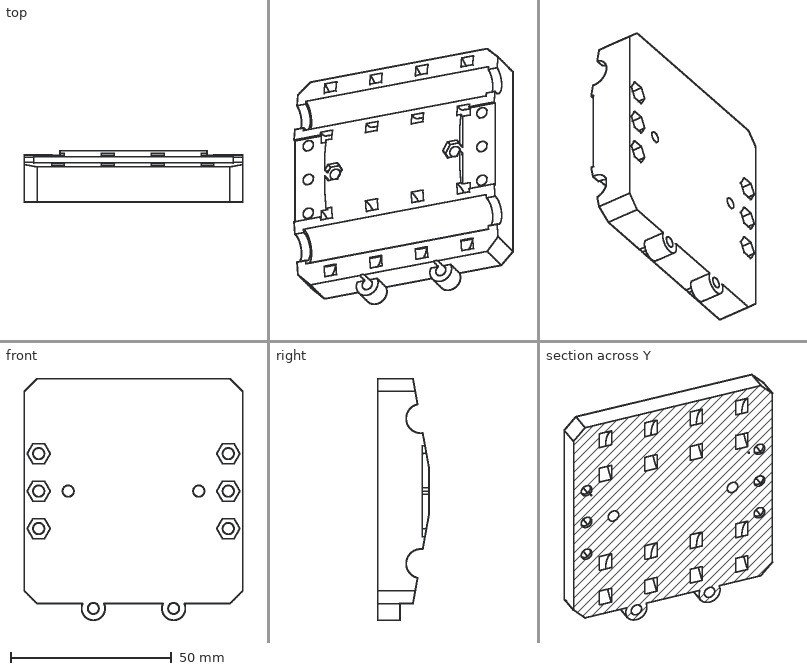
import cadquery as cq
import math

WIDTH = 68.0
HEIGHT = 70.0
DEPTH = 16.0
EDGE_DEPTH = 11.0
CORNER_CHAMFER = 4.0
BACK_FLAT_HEIGHT = 14.0

LUG_RADIUS = 3.7
LUG_DROP = 1.5
LUG_LENGTH = 7.0
LUG_X = 12.5
LUG_HOLE_DIAMETER = 3.4

SCREW_DIAMETER = 3.45
OUTER_SCREW_X = 29.5
OUTER_SCREW_PITCH = 11.65
FRONT_NUT_FLATS = 6.25
FRONT_NUT_DEPTH = 6.0
INNER_SCREW_X = 20.3
BACK_NUT_FLATS = 5.5

PAD_WIDTH = 45.8
RECESS_HEIGHT = 28.3
RECESS_FLOOR_Y = 13.9

GROOVE_Z = 22.55
GROOVE_Y = 13.4
SEAT_RADIUS = 4.5
BORE_RADIUS = 5.6
SEAT_LENGTH = 3.0

TIE_PITCH = 15.5
TIE_COUNT = 4
TIE_WIDTH = 4.0
TIE_SHIFT_X = -0.2
TIE_INNER_RADIUS = 7.5
TIE_OUTER_RADIUS = 10.9


def cylinder_along_x(radius, length, x, y, z):
    return cq.Workplane("YZ", origin=(x, y, z)).circle(radius).extrude(length / 2, both=True)


def prism_along_y(sketch_points, y_start, length, flats=None, diameter=None):
    """Round or hexagonal prisms at the given XZ points, running toward +Y."""
    plane = cq.Workplane("XZ", origin=(0, y_start, 0)).pushPoints(sketch_points)
    if flats is not None:
        return plane.polygon(6, flats / math.cos(math.pi / 6)).extrude(-length)
    return plane.circle(diameter / 2).extrude(-length)


def make_body():
    """Chamfered plate whose back slopes from a flat middle down to its top and bottom edges."""
    profile = [
        (0, -HEIGHT / 2),
        (EDGE_DEPTH, -HEIGHT / 2),
        (DEPTH, -BACK_FLAT_HEIGHT / 2),
        (DEPTH, BACK_FLAT_HEIGHT / 2),
        (EDGE_DEPTH, HEIGHT / 2),
        (0, HEIGHT / 2),
    ]
    slab = cq.Workplane("YZ").polyline(profile).close().extrude(WIDTH / 2, both=True)
    outline = cq.Workplane("XZ").rect(WIDTH, HEIGHT).extrude(-DEPTH).edges("|Y").chamfer(CORNER_CHAMFER)
    return slab.intersect(outline)


def make_side_recesses():
    side_width = (WIDTH - PAD_WIDTH) / 2
    side_x = (WIDTH + PAD_WIDTH) / 4
    return (
        cq.Workplane("XZ", origin=(0, RECESS_FLOOR_Y, 0))
        .pushPoints([(-side_x, 0), (side_x, 0)])
        .rect(side_width, RECESS_HEIGHT)
        .extrude(RECESS_FLOOR_Y - DEPTH)
    )


def make_groove(z):
    seats = cylinder_along_x(SEAT_RADIUS, WIDTH, 0, GROOVE_Y, z)
    bore = cylinder_along_x(BORE_RADIUS, WIDTH - 2 * SEAT_LENGTH, 0, GROOVE_Y, z)
    return seats.union(bore)


def make_tie_tunnel(x, z):
    outer = cylinder_along_x(TIE_OUTER_RADIUS, TIE_WIDTH, x, GROOVE_Y, z)
    inner = cylinder_along_x(TIE_INNER_RADIUS, TIE_WIDTH, x, GROOVE_Y, z)
    return outer.cut(inner)


lug_z = -HEIGHT / 2 - LUG_DROP
lug_points = [(-LUG_X, lug_z), (LUG_X, lug_z)]
inner_screws = [(-INNER_SCREW_X, 0), (INNER_SCREW_X, 0)]
outer_screws = [(side * OUTER_SCREW_X, row * OUTER_SCREW_PITCH) for side in (-1, 1) for row in (-1, 0, 1)]
tie_positions = [TIE_SHIFT_X + (i - (TIE_COUNT - 1) / 2) * TIE_PITCH for i in range(TIE_COUNT)]

result = make_body().cut(make_side_recesses())

for groove_z in (-GROOVE_Z, GROOVE_Z):
    result = result.cut(make_groove(groove_z))
    for tie_x in tie_positions:
        result = result.cut(make_tie_tunnel(tie_x, groove_z))

result = result.union(prism_along_y(lug_points, 0, LUG_LENGTH, diameter=2 * LUG_RADIUS))
result = result.cut(prism_along_y(lug_points, 0, DEPTH, diameter=LUG_HOLE_DIAMETER))
result = result.cut(prism_along_y(inner_screws + outer_screws, 0, DEPTH, diameter=SCREW_DIAMETER))
result = result.cut(prism_along_y(outer_screws, 0, FRONT_NUT_DEPTH, flats=FRONT_NUT_FLATS))
result = result.cut(
    prism_along_y(inner_screws, RECESS_FLOOR_Y, DEPTH - RECESS_FLOOR_Y, flats=BACK_NUT_FLATS)
)